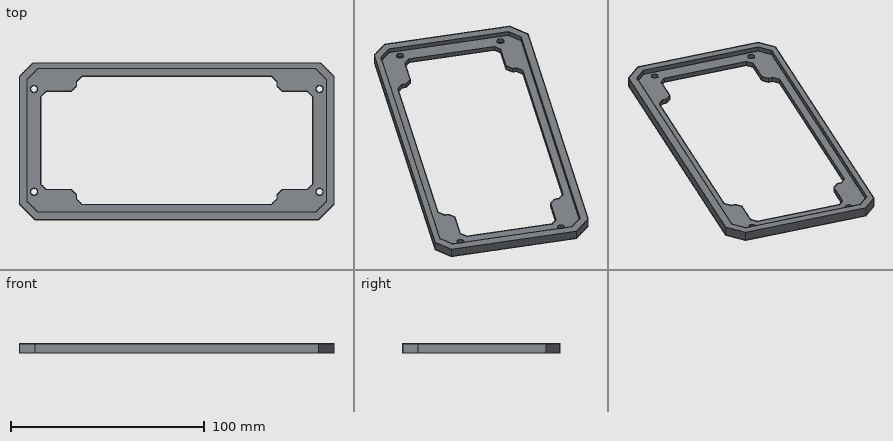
import cadquery as cq

FRAME_LENGTH = 162.25
FRAME_HEIGHT = 5.0
REAR_CHAMFER = 7.0
FRONT_CHAMFER = 8.0

SIDE_RIM = 4.0
FRONT_RIM = 4.0
REAR_RIM = 3.0

RECESS_LENGTH = FRAME_LENGTH - 2 * SIDE_RIM
RECESS_WIDTH = 74.0
RECESS_DEPTH = 2.5
RECESS_CHAMFER = 5.5

SIDE_LEDGE = 7.0
LONG_LEDGE = 4.0
OPENING_LENGTH = RECESS_LENGTH - 2 * SIDE_LEDGE
OPENING_WIDTH = RECESS_WIDTH - 2 * LONG_LEDGE
CORNER_PAD_LENGTH = 18.5
CORNER_PAD_WIDTH = 7.75
OPENING_CHAMFER = 2.75

HOLE_DIAMETER = 3.5
HOLE_SPACING_X = 147.25
HOLE_SPACING_Y = 53.0


def frame_blank():
    """Solid plate whose front corners are cut larger than its rear corners."""
    half_length = FRAME_LENGTH / 2
    rear = RECESS_WIDTH / 2 + REAR_RIM
    front = -RECESS_WIDTH / 2 - FRONT_RIM
    outline = [
        (-half_length + FRONT_CHAMFER, front),
        (half_length - FRONT_CHAMFER, front),
        (half_length, front + FRONT_CHAMFER),
        (half_length, rear - REAR_CHAMFER),
        (half_length - REAR_CHAMFER, rear),
        (-half_length + REAR_CHAMFER, rear),
        (-half_length, rear - REAR_CHAMFER),
        (-half_length, front + FRONT_CHAMFER),
    ]
    return cq.Workplane("XY").polyline(outline).close().extrude(FRAME_HEIGHT)


def recess_cutter():
    """Octagonal block that sinks the recess into the top face."""
    return (
        cq.Workplane("XY")
        .workplane(offset=FRAME_HEIGHT - RECESS_DEPTH)
        .rect(RECESS_LENGTH, RECESS_WIDTH)
        .extrude(RECESS_DEPTH)
        .edges("|Z")
        .chamfer(RECESS_CHAMFER)
    )


def opening_cutter():
    """Cross-shaped block, chamfered at every corner, that leaves four corner pads."""
    wide_width = OPENING_WIDTH - 2 * CORNER_PAD_WIDTH
    tall_length = OPENING_LENGTH - 2 * CORNER_PAD_LENGTH
    wide = cq.Workplane("XY").rect(OPENING_LENGTH, wide_width).extrude(FRAME_HEIGHT)
    tall = cq.Workplane("XY").rect(tall_length, OPENING_WIDTH).extrude(FRAME_HEIGHT)
    return wide.union(tall).edges("|Z").chamfer(OPENING_CHAMFER)


def screw_hole_cutter():
    """Four cylinders, one through each corner pad."""
    return (
        cq.Workplane("XY")
        .rect(HOLE_SPACING_X, HOLE_SPACING_Y, forConstruction=True)
        .vertices()
        .circle(HOLE_DIAMETER / 2)
        .extrude(FRAME_HEIGHT)
    )


result = frame_blank().cut(recess_cutter()).cut(opening_cutter()).cut(screw_hole_cutter())